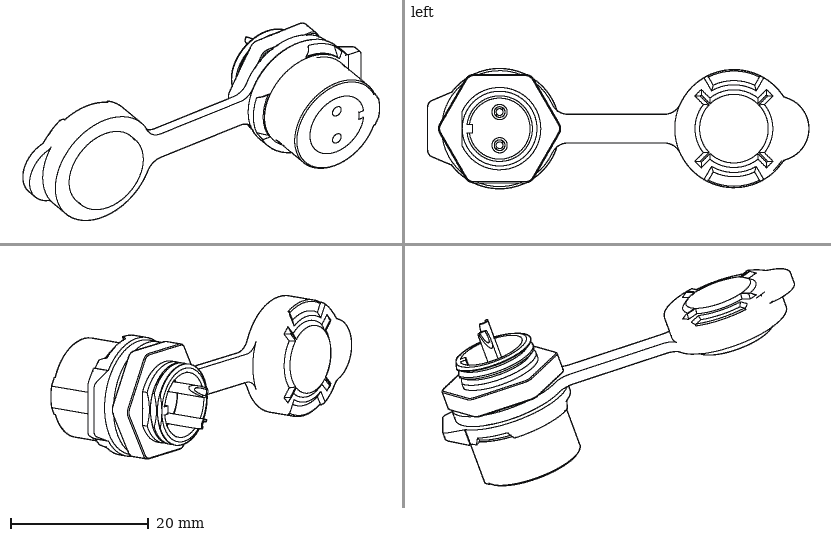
import cadquery as cq
import math


shell_rear = 3.7
nut_rear = 7.2
ring_rear = 10.25
ring_front = 11.85
flange_rear = 12.25
flange_front = 14.75
shell_front = 22.2

thread_radius = 6.0
thread_depth = 0.65
thread_pitch = 1.3
thread_groove_half_width = 0.5
first_groove_x = 4.6
thread_chamfer = 0.55
thread_flat = 5.45
neck_radius = 5.25
shoulder_radius = 7.3
flange_radius = 8.75
flange_edge_fillet = 0.2
barrel_radius = 7.3
barrel_chamfer = 0.2
barrel_root_fillet = 0.3
bore_radius = 4.75
key_width = 1.2
key_height = 0.85

pad_radius = 7.6
pad_base_half = 2.75
pad_top_half = 1.6
pad_base_y = math.sqrt(barrel_radius**2 - pad_base_half**2)
pad_edge_y = math.sqrt(pad_radius**2 - pad_top_half**2)

lobe_reach = 10.5
lobe_tip_half = 3.8
lobe_root_y = 7.1
lobe_root_half = 5.25
lobe_corner_radius = 1.1
ramp_start_x = 13.35
ramp_start_y = 7.3
notch_rear = 13.6
notch_inner_radius = 7.65
notch_slope_length = 0.9
notch_flare = 0.7
side_notch_half_width = 2.5
side_notch_angle = 67
end_notch_half_width = 3.1

nut_across_flats = 15.75
nut_corner_radius = 1.4
nut_chamfer = 0.15

overall_length = 55.4
cap_y = -34.05
cap_radius = 8.6
cap_face = 6.75
cap_edge_fillet = 0.2
ring_radius = 8.4
tether_width = 4.2
tether_fillet = 2.5
plug_radius = 6.15
plug_front = 13.5
plug_fillet = 0.65
tab_radius = 4.7
tab_front = 8.65
tab_root_fillet = 0.85
tab_end_y = lobe_reach - overall_length
emboss_height = 0.55
emboss_slope_width = 0.65
emboss_radius = 5.65
arm_width = 1.35
arm_reach = 7.35
arm_taper = 45
recess_depth = 0.45
recess_inner_radius = 6.4
recess_outer_radius = 10.0
recess_half_angle = 30.5
recess_taper = 54
rim_half_angle = 26.5

insert_rear = 8.3
insert_chamfer_depth = 0.15
insert_chamfer_width = 0.35
pin_radius = 0.8
pin_offset = 2.41
cup_radius = 0.5
cup_depth = 2.45
cup_tip = 0.5
scoop_angle = 45
collar_radius = 1.1
collar_depth = 0.15


def turned(points):
    """Solid of revolution about X from an outline of (x, radius) points."""
    return cq.Workplane("XY").polyline(points).close().revolve(360, (0, 0), (1, 0))


def turn_about_axis(body, angle):
    return body.rotate((0, 0, 0), (1, 0, 0), angle)


def disc(x_start, x_end, radius, y=0, z=0):
    return cq.Workplane("YZ", origin=(x_start, y, z)).circle(radius).extrude(x_end - x_start)


def block(x_range, y_range, z_range):
    ranges = (x_range, y_range, z_range)
    sizes = [high - low for low, high in ranges]
    corner = [low for low, high in ranges]
    return cq.Workplane("XY").box(*sizes, centered=False).translate(tuple(corner))


def sector(x_start, length, inner, outer, half_angle, taper=0):
    """Ring sector centred on the +Z direction, extruded along +X."""
    a = math.radians(half_angle)

    def at(radius, angle):
        return (radius * math.sin(angle), radius * math.cos(angle))

    return (
        cq.Workplane("YZ", origin=(x_start, 0, 0))
        .moveTo(*at(inner, -a))
        .threePointArc(at(inner, 0), at(inner, a))
        .lineTo(*at(outer, a))
        .threePointArc(at(outer, 0), at(outer, -a))
        .close()
        .extrude(length, taper=taper)
    )


def make_thread_stem():
    """Rear stem with V-shaped thread grooves and a plain neck inside the nut."""
    outline = [
        (shell_rear, 0),
        (shell_rear, thread_radius - thread_chamfer),
        (shell_rear + thread_chamfer / 2, thread_radius),
    ]
    groove_x = first_groove_x
    while groove_x + thread_groove_half_width < nut_rear:
        outline += [
            (groove_x - thread_groove_half_width, thread_radius),
            (groove_x, thread_radius - thread_depth),
            (groove_x + thread_groove_half_width, thread_radius),
        ]
        groove_x += thread_pitch
    outline += [
        (nut_rear, thread_radius),
        (nut_rear, neck_radius),
        (ring_rear, neck_radius),
        (ring_rear, 0),
    ]
    flat_cut = block((0, ring_rear), (thread_flat, flange_radius), (-flange_radius, flange_radius))
    return turned(outline).cut(flat_cut)


def make_notch(half_width, angle):
    """Notch in the flange's front edge, with a conical floor and flared ends."""
    ring = turned([
        (notch_rear, flange_radius),
        (notch_rear, lobe_reach),
        (flange_front, lobe_reach),
        (flange_front, notch_inner_radius),
        (notch_rear + notch_slope_length, notch_inner_radius),
    ])
    wedge = (
        cq.Workplane("XZ")
        .polyline([
            (notch_rear, -half_width),
            (notch_rear, half_width),
            (flange_front, half_width + notch_flare),
            (flange_front, -half_width - notch_flare),
        ])
        .close()
        .extrude(-lobe_reach)
    )
    return turn_about_axis(ring.intersect(wedge), angle)


def make_flange():
    plate = disc(flange_rear, flange_front, flange_radius)
    plate = plate.faces(">X").edges().fillet(flange_edge_fillet)
    lobe = (
        cq.Workplane("YZ", origin=(flange_rear, 0, 0))
        .polyline([
            (0, lobe_root_half),
            (lobe_root_y, lobe_root_half),
            (lobe_reach, lobe_tip_half),
            (lobe_reach, -lobe_tip_half),
            (lobe_root_y, -lobe_root_half),
            (0, -lobe_root_half),
        ])
        .close()
        .extrude(flange_front - flange_rear)
        .edges("|X")
        .edges(">Y")
        .fillet(lobe_corner_radius)
    )
    ramp_cut = (
        cq.Workplane("XY", origin=(0, 0, -flange_radius))
        .polyline([(ramp_start_x, lobe_reach), (flange_front, lobe_reach), (flange_front, ramp_start_y)])
        .close()
        .extrude(2 * flange_radius)
    )
    flange = plate.union(lobe).cut(ramp_cut)
    flange = flange.cut(make_notch(end_notch_half_width, 180))
    for angle in (side_notch_angle, -side_notch_angle):
        flange = flange.cut(make_notch(side_notch_half_width, angle))
    return flange


def make_barrel():
    barrel = disc(flange_front, shell_front, barrel_radius).faces(">X").chamfer(barrel_chamfer)
    pad = (
        cq.Workplane("YZ", origin=(flange_front, 0, 0))
        .moveTo(0, -pad_base_half)
        .lineTo(pad_base_y, -pad_base_half)
        .lineTo(pad_edge_y, -pad_top_half)
        .threePointArc((pad_radius, 0), (pad_edge_y, pad_top_half))
        .lineTo(pad_base_y, pad_base_half)
        .lineTo(0, pad_base_half)
        .close()
        .extrude(shell_front - flange_front)
    )
    root = (
        cq.Workplane("XY")
        .moveTo(flange_front, 0)
        .lineTo(flange_front, barrel_radius + barrel_root_fillet)
        .radiusArc((flange_front + barrel_root_fillet, barrel_radius), -barrel_root_fillet)
        .lineTo(flange_front + barrel_root_fillet, 0)
        .close()
        .revolve(360, (0, 0), (1, 0))
    )
    return barrel.union(root).union(pad)


def make_key():
    """Rib along the +Y side of the bore, which also sets the slot in the insert."""
    return block(
        (shell_rear, shell_front),
        (bore_radius - key_height, bore_radius),
        (-key_width / 2, key_width / 2),
    )


def make_shell():
    shoulder = disc(ring_rear, flange_rear, shoulder_radius)
    shell = make_thread_stem().union(shoulder).union(make_flange()).union(make_barrel())
    bore = disc(shell_rear, shell_front, bore_radius)
    return shell.cut(bore.cut(make_key()))


def make_nut():
    corner_diameter = nut_across_flats / math.cos(math.pi / 6)
    return (
        cq.Workplane("YZ", origin=(nut_rear, 0, 0))
        .polygon(6, corner_diameter)
        .extrude(ring_rear - nut_rear)
        .edges("|X")
        .fillet(nut_corner_radius)
        .faces("<X or >X")
        .chamfer(nut_chamfer)
        .cut(disc(nut_rear, ring_rear, neck_radius))
    )


def make_tether():
    """Strap between the ring and the cap, flared by fillets at both ends."""
    half = tether_width / 2
    centre_z = half + tether_fillet
    ring_run = math.sqrt((ring_radius + tether_fillet) ** 2 - centre_z**2)
    cap_run = math.sqrt((cap_radius + tether_fillet) ** 2 - centre_z**2)
    web = block((ring_rear, ring_front), (cap_y + cap_run, -ring_run), (-half, half))
    ends = ((0, -ring_run, ring_radius), (cap_y, cap_y + cap_run, cap_radius))
    for circle_y, fillet_y, radius in ends:
        touch_z = centre_z * radius / (radius + tether_fillet)
        low_y, high_y = sorted((circle_y, fillet_y))
        flare = block((ring_rear, ring_front), (low_y, high_y), (-touch_z, touch_z))
        for side in (1, -1):
            flare = flare.cut(disc(ring_rear, ring_front, tether_fillet, fillet_y, side * centre_z))
        web = web.union(flare)
    return web


def make_recess():
    """Sloped grip recess in the cap's edge, with a bevel on its outer rim."""
    recess = sector(
        cap_face, recess_depth, recess_inner_radius, recess_outer_radius, recess_half_angle, recess_taper
    )
    floor = cap_face + recess_depth
    rim = turned([
        (floor, cap_radius - cap_edge_fillet),
        (floor, cap_radius),
        (floor + cap_edge_fillet, cap_radius),
    ])
    rim_span = sector(floor, cap_edge_fillet, recess_inner_radius, recess_outer_radius, rim_half_angle)
    return recess.union(rim.intersect(rim_span))


def make_emboss():
    """Raised round centre of the cap with four diagonal arms."""
    emboss = turned([
        (cap_face, 0),
        (cap_face, emboss_radius),
        (cap_face - emboss_height, emboss_radius - emboss_slope_width),
        (cap_face - emboss_height, 0),
    ])
    for angle in (45, 135):
        arm = (
            cq.Workplane("YZ", origin=(cap_face, 0, 0))
            .transformed(rotate=(0, 0, angle))
            .rect(2 * arm_reach, arm_width)
            .extrude(-emboss_height, taper=arm_taper)
        )
        emboss = emboss.union(arm)
    return emboss


def make_cap():
    cap = disc(cap_face, ring_front, cap_radius, cap_y)
    tab = disc(cap_face, tab_front, tab_radius, tab_end_y + tab_radius)
    cap = cap.union(tab).edges("|X").edges("<Z or >Z").fillet(tab_root_fillet)
    cap = cap.faces("<X").edges().fillet(cap_edge_fillet)
    recess = make_recess()
    for angle in (0, 180):
        cap = cap.cut(turn_about_axis(recess, angle).translate((0, cap_y, 0)))
    plug = disc(ring_front, plug_front, plug_radius, cap_y).faces(">X").edges().fillet(plug_fillet)
    cap = cap.union(plug).union(make_emboss().translate((0, cap_y, 0)))
    ring = disc(ring_rear, ring_front, ring_radius)
    hole = disc(ring_rear, ring_front, shoulder_radius)
    return cap.union(make_tether()).union(ring).cut(hole)


def make_insert():
    insert = disc(insert_rear, shell_front, bore_radius)
    insert = insert.faces("<X").chamfer(insert_chamfer_depth, insert_chamfer_width).cut(make_key())
    for side in (1, -1):
        pin_z = side * pin_offset
        insert = insert.cut(disc(insert_rear, shell_front, pin_radius, 0, pin_z))
        insert = insert.cut(disc(insert_rear, insert_rear + collar_depth, collar_radius, 0, pin_z))
    return insert


def make_pin(side):
    """Solder-cup pin, its cup opening away from the connector axis."""
    pin = disc(0, shell_front, pin_radius)
    cup = turned([(0, 0), (0, cup_radius), (cup_depth, cup_radius), (cup_depth + cup_tip, 0)])
    scoop = (
        cq.Workplane("XY", origin=(0, 0, -pin_radius))
        .polyline([(0, 0), (cup_depth, pin_radius), (0, pin_radius)])
        .close()
        .extrude(2 * pin_radius)
    )
    pin = pin.cut(cup).cut(turn_about_axis(scoop, scoop_angle))
    turn = 0 if side > 0 else 180
    return turn_about_axis(pin, turn).translate((0, 0, side * pin_offset))


shell = make_shell()
nut = make_nut()
cap = make_cap()
insert = make_insert()
pins = [make_pin(side) for side in (1, -1)]

result = cq.Compound.makeCompound(
    [shell.val(), nut.val(), cap.val(), insert.val(), *[pin.val() for pin in pins]]
)